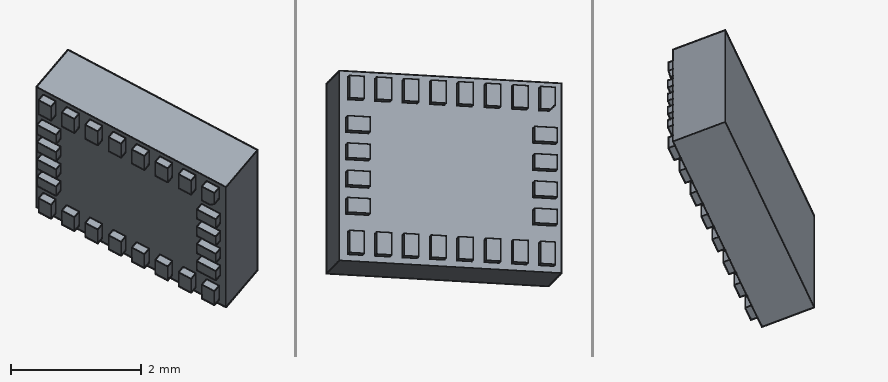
import cadquery as cq

width = 3.5
height = 3.0
total_depth = 1.0
pad_height = 0.13
body_depth = total_depth - pad_height

pad_length = 0.35
pad_width = 0.23
pad_pitch = 0.43
pad_edge_gap = 0.1
row_pad_count = 8
column_pad_count = 4
index_chamfer = 0.075

row_z = height / 2 - pad_edge_gap - pad_length / 2
column_x = width / 2 - pad_edge_gap - pad_length / 2


def pitch_positions(count):
    """Positions of evenly pitched pads, centred on zero."""
    return [(i - (count - 1) / 2) * pad_pitch for i in range(count)]


def make_pad(x, z, size_x, size_z):
    """Rectangular pad standing on the y = 0 face of the body and rising toward -Y."""
    return (
        cq.Workplane("XY")
        .box(size_x, pad_height, size_z)
        .translate((x, -pad_height / 2, z))
    )


body = cq.Workplane("XY").box(width, body_depth, height).translate((0, body_depth / 2, 0))
result = body

row_positions = pitch_positions(row_pad_count)
index_x = row_positions[-1]
for z in (-row_z, row_z):
    for x in row_positions:
        pad = make_pad(x, z, pad_width, pad_length)
        if x == index_x and z == row_z:
            pad = pad.edges("|Y and >X and <Z").chamfer(index_chamfer)
        result = result.union(pad)

for x in (-column_x, column_x):
    for z in pitch_positions(column_pad_count):
        result = result.union(make_pad(x, z, pad_length, pad_width))